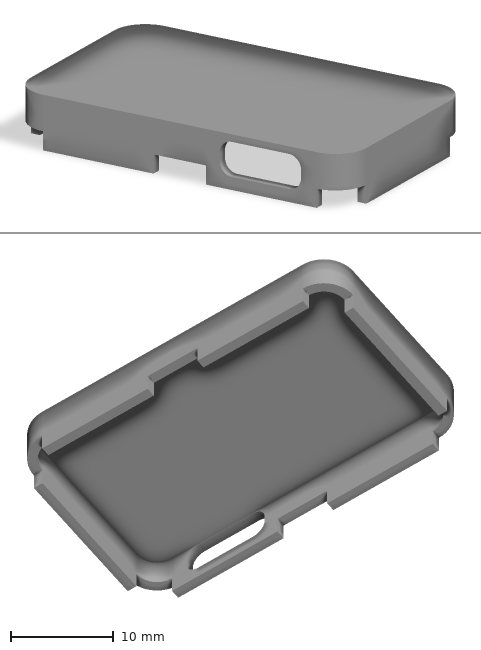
import cadquery as cq

length = 38.23
width = 22.7
height = 5.77
corner_radius = 3.5

wall = 1.05
top_thickness = 0.73

rim_height = 2.0
notch_width = 5.95

port_length = 9.3
port_height = 3.65
port_radius = 1.4
port_center_x = 9.18
port_center_z = 3.17


def box_from_base(x_size, y_size, z_size):
    return cq.Workplane("XY").box(x_size, y_size, z_size, centered=(True, True, False))


def make_shell():
    outer = box_from_base(length, width, height).edges("|Z").fillet(corner_radius)
    cavity = box_from_base(length - 2 * wall, width - 2 * wall, height - top_thickness)
    cavity = cavity.edges("|Z").fillet(corner_radius - wall)
    return outer.cut(cavity)


def make_corner_cuts():
    return (
        cq.Workplane("XY")
        .rect(length - corner_radius, width - corner_radius, forConstruction=True)
        .vertices()
        .rect(corner_radius, corner_radius)
        .extrude(rim_height)
    )


def make_port():
    port = cq.Workplane("XY").box(port_length, 2 * wall, port_height)
    port = port.edges("|Y").fillet(port_radius)
    return port.translate((port_center_x, -width / 2, port_center_z))


wall_notches = box_from_base(notch_width, width, rim_height)

result = make_shell().cut(make_corner_cuts()).cut(wall_notches).cut(make_port())